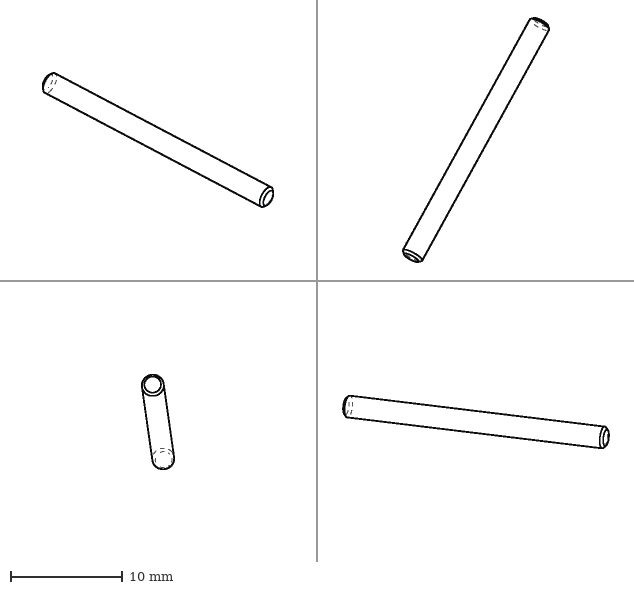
import cadquery as cq
import math

overall_x = 22.4
pin_diameter = 2.0
end_chamfer = 0.25
pin_angle = 30.0

angle = math.radians(pin_angle)
end_face_diameter = pin_diameter - 2 * end_chamfer
pin_length = (overall_x - end_face_diameter * math.sin(angle)) / math.cos(angle)

pin = (
    cq.Workplane("YZ", origin=(-pin_length / 2, 0, 0))
    .circle(pin_diameter / 2)
    .extrude(pin_length)
    .faces("<X or >X")
    .chamfer(end_chamfer)
)

result = pin.rotate((0, 0, 0), (0, 0, 1), pin_angle)